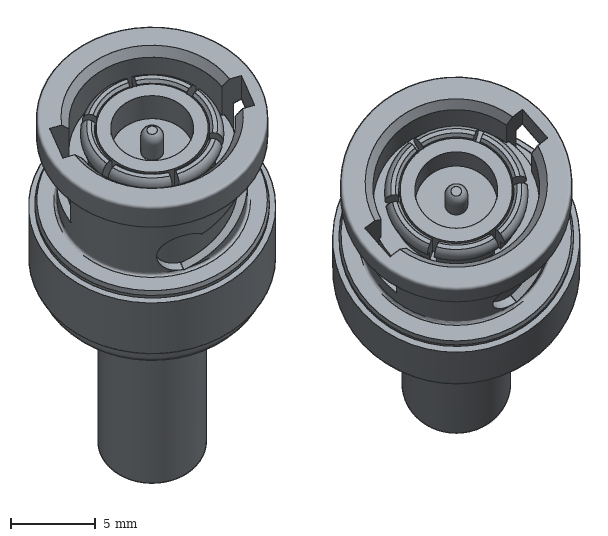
import cadquery as cq
import math

total_height = 30.95
flange_rim_z = 29.03
flange_base_z = 28.5
core_top_z = 27.67
collar_top_z = 23.0
grip_top_z = 22.45
grip_base_z = 17.35
collar_base_z = 16.05
ferrule_base_z = 13.0

grip_radius = 7.3
collar_radius = 6.93
flange_radius = 6.85
neck_radius = 5.63
core_radius = 5.08
ferrule_radius = 4.33
cable_radius = 3.22

edge_round = 0.2
collar_top_chamfer_width = 0.12
collar_top_chamfer_height = 0.3
collar_base_round = 0.55
collar_base_chamfer = 0.53
collar_base_angle = 30.0
grip_chamfer = 0.22
ferrule_chamfer = 0.2

mouth_radius = 5.4
bore_radius = 4.92
mouth_depth = 0.55

track_width = 2.35
track_angle = 15.0
catch_radius = 1.6
catch_z = 24.75
key_reach = 6.0

finger_top_z = 30.02
finger_bead_radius = 4.25
finger_bead_height = 1.3
finger_outer_radius = 3.87
finger_inner_radius = 3.4
finger_lip_chamfer = 0.2
finger_count = 6
finger_gap = 0.43
insulator_radius = 3.3
insulator_hole_radius = 2.45
insulator_top_z = 29.87
pin_radius = 0.68
pin_tip_radius = 0.3
pin_shoulder_z = 29.05


def cylinder(radius, bottom_z, top_z):
    return cq.Workplane("XY").workplane(offset=bottom_z).circle(radius).extrude(top_z - bottom_z)


def step_toward(start, end, distance):
    """Point at the given distance from start on the way to end."""
    share = distance / math.dist(start, end)
    return tuple(a + (b - a) * share for a, b in zip(start, end))


def revolve_profile(corners):
    """Revolve a closed outline of (radius, z, rounding) corners about Z."""
    outline = cq.Workplane("XZ").moveTo(*corners[0][:2])
    for before, corner, after in zip(corners, corners[1:], corners[2:] + corners[:1]):
        point = corner[:2]
        rounding = corner[2]
        if rounding == 0:
            outline = outline.lineTo(*point)
            continue
        toward_before = step_toward(point, before[:2], 0.3)
        toward_after = step_toward(point, after[:2], 0.3)
        half_angle = math.asin(math.dist(toward_before, toward_after) / 0.62)
        tangent_length = rounding / math.tan(half_angle)
        middle_distance = rounding / math.sin(half_angle) - rounding
        bisector_point = tuple((a + b) / 2 for a, b in zip(toward_before, toward_after))
        outline = outline.lineTo(*step_toward(point, before[:2], tangent_length)).threePointArc(
            step_toward(point, bisector_point, middle_distance),
            step_toward(point, after[:2], tangent_length),
        )
    return outline.close().revolve(360, (0, 0), (0, 1))


def make_sleeve():
    """Rotating sleeve: flange and neck, bored open at the top."""
    foot_radius = neck_radius + 2 * edge_round
    return revolve_profile([
        (bore_radius, grip_top_z, 0),
        (foot_radius, grip_top_z, 0),
        (foot_radius, collar_top_z, 0),
        (neck_radius, collar_top_z, edge_round),
        (neck_radius, flange_base_z, 0),
        (flange_radius, flange_rim_z, edge_round),
        (flange_radius, total_height, edge_round),
        (mouth_radius, total_height, 0),
        (bore_radius, total_height - mouth_depth, 0),
    ])


def make_bayonet_track():
    """Track on the -X, -Y quarter: vertical key slot, sloping ramp and round catch."""
    slope = math.radians(track_angle)
    half_width = track_width / 2
    ramp_base_z = catch_z - catch_radius / math.cos(slope)
    ramp_height = track_width / math.cos(slope)
    ramp_rise = key_reach * math.tan(slope)

    side = cq.Workplane("YZ", origin=(half_width, 0, 0))
    ramp = (
        side.moveTo(0, ramp_base_z)
        .lineTo(0, ramp_base_z + ramp_height)
        .lineTo(-key_reach, ramp_base_z + ramp_height + ramp_rise)
        .lineTo(-key_reach, ramp_base_z + ramp_rise)
        .close()
        .extrude(-key_reach - half_width)
    )
    catch = cq.Workplane("YZ").center(0, catch_z).circle(catch_radius).extrude(-key_reach)
    key_base_z = ramp_base_z + ramp_rise
    key_slot = cq.Workplane("XY").box(
        track_width, key_reach, total_height - key_base_z, centered=(True, False, False)
    ).translate((0, -key_reach, key_base_z))
    return ramp.union(catch).union(key_slot)


def make_body():
    """Grip collar, ferrule and cable sleeve, with the solid core that fills the neck."""
    collar_base_radius = collar_radius - collar_base_chamfer * math.tan(math.radians(collar_base_angle))
    return revolve_profile([
        (0, 0, 0),
        (cable_radius, 0, 0),
        (cable_radius, ferrule_base_z, 0),
        (ferrule_radius - ferrule_chamfer, ferrule_base_z, 0),
        (ferrule_radius, ferrule_base_z + ferrule_chamfer, 0),
        (ferrule_radius, collar_base_z, 0),
        (collar_base_radius, collar_base_z, edge_round),
        (collar_radius, collar_base_z + collar_base_chamfer, collar_base_round),
        (collar_radius, grip_base_z, 0),
        (grip_radius - grip_chamfer, grip_base_z, 0),
        (grip_radius, grip_base_z + grip_chamfer, 0),
        (grip_radius, grip_top_z, 0),
        (collar_radius, grip_top_z, 0),
        (collar_radius, collar_top_z - collar_top_chamfer_height, 0),
        (collar_radius - collar_top_chamfer_width, collar_top_z, 0),
        (core_radius, collar_top_z, 0),
        (core_radius, core_top_z, 0),
        (0, core_top_z, 0),
    ])


def make_fingers():
    """Slotted ring of spring contacts with a bulging bead around the free end."""
    ring = (
        cq.Workplane("XZ")
        .moveTo(finger_inner_radius, core_top_z)
        .lineTo(finger_outer_radius, core_top_z)
        .lineTo(finger_outer_radius, finger_top_z - finger_bead_height)
        .threePointArc(
            (finger_bead_radius, finger_top_z - finger_bead_height / 2),
            (finger_outer_radius, finger_top_z),
        )
        .lineTo(finger_inner_radius + finger_lip_chamfer, finger_top_z)
        .lineTo(finger_inner_radius, finger_top_z - finger_lip_chamfer)
        .close()
        .revolve(360, (0, 0), (0, 1))
    )
    for index in range(finger_count):
        gap = (
            cq.Workplane("XY", origin=(0, 0, core_top_z))
            .box(finger_bead_radius, finger_gap, finger_top_z - core_top_z, centered=(False, True, False))
            .rotate((0, 0, 0), (0, 0, 1), index * 360 / finger_count)
        )
        ring = ring.cut(gap)
    return ring


def make_insulator():
    wall = cylinder(insulator_radius, core_top_z, insulator_top_z)
    return wall.cut(cylinder(insulator_hole_radius, core_top_z, insulator_top_z))


def make_pin():
    """Centre contact with a spherical end cut flat at the tip."""
    tip_height = math.sqrt(pin_radius**2 - pin_tip_radius**2)
    shaft = cylinder(pin_radius, core_top_z, pin_shoulder_z + tip_height)
    ball = cq.Workplane("XY").sphere(pin_radius).translate((0, 0, pin_shoulder_z))
    return shaft.intersect(ball.union(cylinder(pin_radius, core_top_z, pin_shoulder_z)))


sleeve = make_sleeve()
track = make_bayonet_track()
for turn in (0, 180):
    sleeve = sleeve.cut(track.rotate((0, 0, 0), (0, 0, 1), turn))

result = make_body().union(sleeve)
for contact_part in (make_fingers(), make_insulator(), make_pin()):
    result = result.union(contact_part)